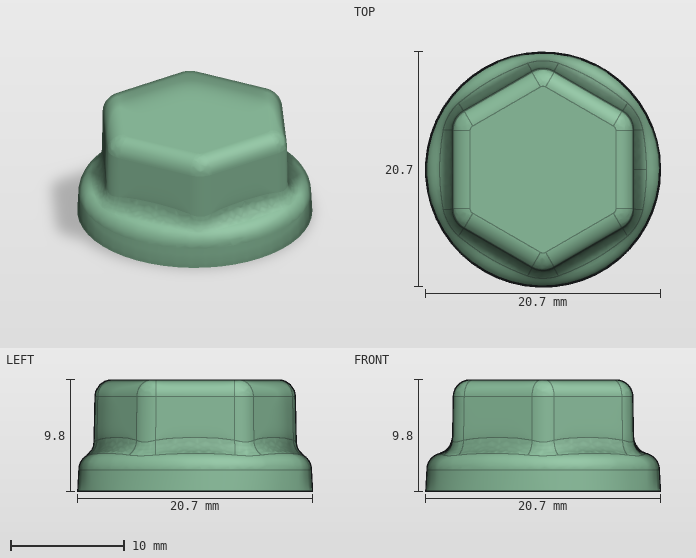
import cadquery as cq
import math

flange_radius = 10.35
flange_top_radius = 10.25
flange_wall_height = 1.88
flange_round = 1.5

total_height = 9.8
flat_half_width = 8.05
wall_draft = 1.0
corner_radius = 1.95
top_round = 1.5

neck_fillet = 1.5

ring_radius = flange_top_radius - flange_round
ring_crest = flange_wall_height + flange_round
ring_inner_radius = ring_radius - flange_round

side_count = 6
corner_half_width = flat_half_width / math.cos(math.pi / side_count)


def make_flange():
    profile = (
        cq.Workplane("XZ")
        .lineTo(flange_radius, 0)
        .lineTo(flange_top_radius, flange_wall_height)
        .threePointArc((ring_radius, ring_crest), (ring_inner_radius, flange_wall_height))
        .lineTo(0, flange_wall_height)
        .close()
    )
    return profile.revolve(360, (0, 0, 0), (0, 1, 0))


def make_hexagonal_cap():
    return (
        cq.Workplane("XY")
        .polygon(side_count, 2 * corner_half_width)
        .extrude(total_height, taper=wall_draft)
        .rotate((0, 0, 0), (0, 0, 1), 180 / side_count)
        .edges("not(<Z or >Z)")
        .fillet(corner_radius)
    )


def blend_neck(body):
    neck_zone = cq.selectors.BoxSelector(
        (-corner_half_width, -corner_half_width, flange_wall_height),
        (corner_half_width, corner_half_width, ring_crest + 0.2),
        boundingbox=True,
    )
    return body.edges(neck_zone).fillet(neck_fillet)


def round_top(body):
    return body.faces(">Z").edges().fillet(top_round)


result = round_top(blend_neck(make_flange().union(make_hexagonal_cap())))